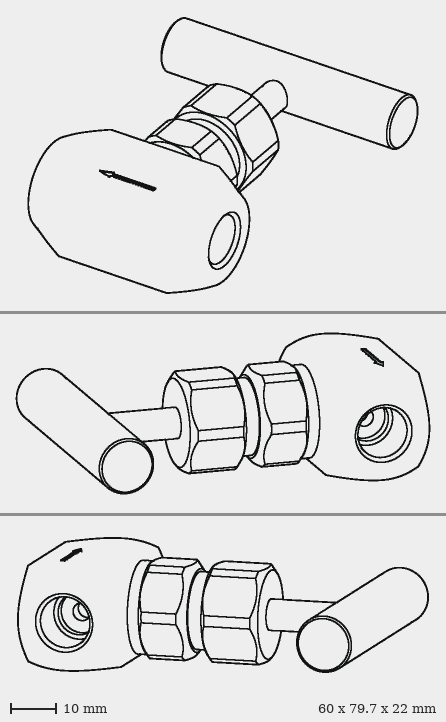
import cadquery as cq
import math

BLOCK_WIDTH = 22.0
BLOCK_LENGTH = 45.0
END_FACE_DIA = 21.0
CONE_HALF_ANGLE = 30.0
EDGE_ROUND = 0.55

PORT_DIA = 11.5
PORT_MOUTH_DIA = 13.2
PORT_DEPTH = 11.15
STEP_DIA = 9.5
STEP_DEPTH = 13.55
PASSAGE_DIA = 4.0
PASSAGE_DEPTH = 17.5

COLLAR_DIA = 20.9
COLLAR_LENGTH = 2.55
NECK_DIA = 17.4
NECK_LENGTH = 3.6
LOWER_NUT_LENGTH = 10.9
UPPER_NUT_LENGTH = 13.0
STEM_DIA = 7.0

NUT_FLATS = 21.1
NUT_CORNER_DIA = 23.1
NUT_BOTTOM_DIA = 20.8
LOWER_NUT_TOP_DIA = 18.6
UPPER_NUT_TOP_DIA = 19.8
NUT_BEVEL_ANGLE = 40.0

OVERALL_Y = 79.65
HANDLE_DIA = 12.7
HANDLE_LENGTH = 60.0
HANDLE_CHAMFER = 0.5

ARROW_TIP_X = -7.2
ARROW_TAIL_X = 7.25
ARROW_Y = -4.9
ARROW_HEAD_LENGTH = 3.2
ARROW_HEAD_WIDTH = 2.1
ARROW_SHAFT_WIDTH = 0.95
ARROW_DEPTH = 0.2

COLLAR_START = BLOCK_WIDTH / 2
LOWER_NUT_START = COLLAR_START + COLLAR_LENGTH
NECK_START = LOWER_NUT_START + LOWER_NUT_LENGTH
UPPER_NUT_START = NECK_START + NECK_LENGTH
STEM_START = UPPER_NUT_START + UPPER_NUT_LENGTH
HANDLE_Y = OVERALL_Y - BLOCK_WIDTH / 2 - HANDLE_DIA / 2


def cylinder_y(diameter, start, length):
    """Cylinder on the Y axis, growing toward +Y from start."""
    return cq.Workplane("XZ", origin=(0, start, 0)).circle(diameter / 2).extrude(-length)


def valve_block():
    """Square bar whose ends are turned down to cones, with all edges rounded over."""
    half_length = BLOCK_LENGTH / 2
    end_radius = END_FACE_DIA / 2
    middle_radius = end_radius + half_length * math.tan(math.radians(CONE_HALF_ANGLE))
    turned = (
        cq.Workplane("XY")
        .moveTo(-half_length, 0)
        .lineTo(-half_length, end_radius)
        .lineTo(0, middle_radius)
        .lineTo(half_length, end_radius)
        .lineTo(half_length, 0)
        .close()
        .revolve(360, (0, 0, 0), (1, 0, 0))
    )
    bar = cq.Workplane("XY").box(BLOCK_LENGTH, BLOCK_WIDTH, BLOCK_WIDTH)
    return bar.intersect(turned).edges().fillet(EDGE_ROUND)


def port():
    """Cutting tool for the countersunk, stepped port in the -X end."""
    face_x = -BLOCK_LENGTH / 2
    mouth_depth = (PORT_MOUTH_DIA - PORT_DIA) / 2
    return (
        cq.Workplane("XY")
        .moveTo(face_x, 0)
        .lineTo(face_x, PORT_MOUTH_DIA / 2)
        .lineTo(face_x + mouth_depth, PORT_DIA / 2)
        .lineTo(face_x + PORT_DEPTH, PORT_DIA / 2)
        .lineTo(face_x + PORT_DEPTH, STEP_DIA / 2)
        .lineTo(face_x + STEP_DEPTH, STEP_DIA / 2)
        .lineTo(face_x + STEP_DEPTH, PASSAGE_DIA / 2)
        .lineTo(face_x + PASSAGE_DEPTH, PASSAGE_DIA / 2)
        .lineTo(face_x + PASSAGE_DEPTH, 0)
        .close()
        .revolve(360, (0, 0, 0), (1, 0, 0))
    )


def hex_nut(start, length, top_dia):
    """Hexagon on the Y axis, flats facing +Z and -Z, with rounded corners and beveled ends."""
    hexagon = (
        cq.Workplane("XZ", origin=(0, start, 0))
        .polygon(6, NUT_FLATS / math.cos(math.pi / 6))
        .extrude(-length)
    )
    slope = math.tan(math.radians(NUT_BEVEL_ANGLE))
    bottom_bevel = (NUT_CORNER_DIA - NUT_BOTTOM_DIA) / 2 * slope
    top_bevel = (NUT_CORNER_DIA - top_dia) / 2 * slope
    end = start + length
    envelope = (
        cq.Workplane("XY")
        .moveTo(0, start)
        .lineTo(NUT_BOTTOM_DIA / 2, start)
        .lineTo(NUT_CORNER_DIA / 2, start + bottom_bevel)
        .lineTo(NUT_CORNER_DIA / 2, end - top_bevel)
        .lineTo(top_dia / 2, end)
        .lineTo(0, end)
        .close()
        .revolve(360, (0, 0, 0), (0, 1, 0))
    )
    return hexagon.intersect(envelope)


def handle():
    """Round bar along X with chamfered ends."""
    return (
        cq.Workplane("YZ", origin=(-HANDLE_LENGTH / 2, HANDLE_Y, 0))
        .circle(HANDLE_DIA / 2)
        .extrude(HANDLE_LENGTH)
        .faces("<X or >X")
        .chamfer(HANDLE_CHAMFER)
    )


def flow_arrow():
    """Cutting tool for the engraved arrow."""
    neck_x = ARROW_TIP_X + ARROW_HEAD_LENGTH
    return (
        cq.Workplane("XY", origin=(0, ARROW_Y, BLOCK_WIDTH / 2))
        .moveTo(ARROW_TIP_X, 0)
        .lineTo(neck_x, ARROW_HEAD_WIDTH / 2)
        .lineTo(neck_x, ARROW_SHAFT_WIDTH / 2)
        .lineTo(ARROW_TAIL_X, ARROW_SHAFT_WIDTH / 2)
        .lineTo(ARROW_TAIL_X, -ARROW_SHAFT_WIDTH / 2)
        .lineTo(neck_x, -ARROW_SHAFT_WIDTH / 2)
        .lineTo(neck_x, -ARROW_HEAD_WIDTH / 2)
        .close()
        .extrude(-ARROW_DEPTH)
    )


block = valve_block().cut(port()).cut(port().mirror("YZ")).cut(flow_arrow())

result = (
    block
    .union(cylinder_y(COLLAR_DIA, COLLAR_START, COLLAR_LENGTH))
    .union(hex_nut(LOWER_NUT_START, LOWER_NUT_LENGTH, LOWER_NUT_TOP_DIA))
    .union(cylinder_y(NECK_DIA, NECK_START, NECK_LENGTH))
    .union(hex_nut(UPPER_NUT_START, UPPER_NUT_LENGTH, UPPER_NUT_TOP_DIA))
    .union(cylinder_y(STEM_DIA, STEM_START, HANDLE_Y - STEM_START))
    .union(handle())
)